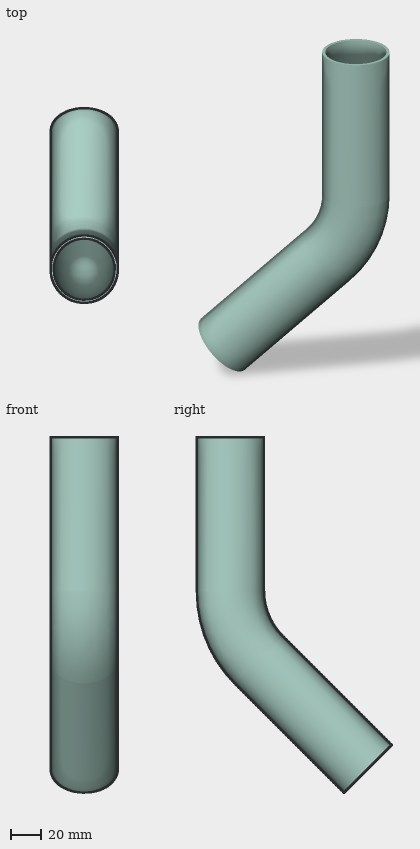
import cadquery as cq
import math

outer_diameter = 44.45
inner_diameter = 40.23

leg_length = 101.6
bend_radius = 63.5
bend_angle = math.radians(45)


def point_on_bend(angle):
    """Centreline point (Y, Z) after turning through angle; the bend starts at the origin."""
    return (
        bend_radius * (1 - math.cos(angle)),
        -bend_radius * math.sin(angle),
    )


def make_centreline():
    """Path in the YZ plane, from the top of the vertical leg to the end of the sloping leg."""
    bend_middle = point_on_bend(bend_angle / 2)
    bend_end = point_on_bend(bend_angle)
    sloping_end = (
        bend_end[0] + leg_length * math.sin(bend_angle),
        bend_end[1] - leg_length * math.cos(bend_angle),
    )
    return (
        cq.Workplane("YZ")
        .moveTo(0, leg_length)
        .lineTo(0, 0)
        .threePointArc(bend_middle, bend_end)
        .lineTo(*sloping_end)
    )


def make_tube():
    """Ring section at the top of the vertical leg, swept along the centreline."""
    return (
        cq.Workplane("XY", origin=(0, 0, leg_length))
        .circle(outer_diameter / 2)
        .circle(inner_diameter / 2)
        .sweep(make_centreline())
    )


result = make_tube()